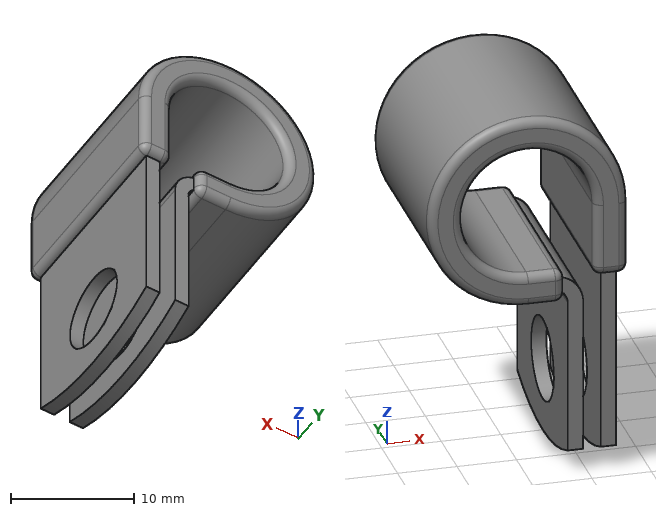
import cadquery as cq
import math

overall_height = 32.1
cushion_width = 17.45
loop_diameter = 16.72
cushion_thickness = 2.82
cushion_rounding = 0.77
straight_side_length = 6.35
bottom_side_length = 3.05

strap_width = 15.98
strap_thickness = 1.28
bend_inner_radius = 1.2
bent_leg_x = 4.17
tip_arc_height = 1.73
hole_diameter = 7.12
hole_above_tip = 6.4

loop_radius = loop_diameter / 2
bore_radius = loop_radius - cushion_thickness
middle_radius = loop_radius - cushion_thickness / 2
tip_z = loop_radius - overall_height
tip_corner_z = tip_z + tip_arc_height


def arc_middle(radius):
    """Middle of the 270 degree loop, from +X over the top to -Z."""
    return (-radius * math.sqrt(0.5), radius * math.sqrt(0.5))


def extrude_centered(profile, width):
    return profile.extrude(width / 2, both=True)


def make_cushion():
    profile = (
        cq.Workplane("XZ")
        .moveTo(loop_radius, -straight_side_length)
        .lineTo(loop_radius, 0)
        .threePointArc(arc_middle(loop_radius), (0, -loop_radius))
        .lineTo(bottom_side_length, -loop_radius)
        .lineTo(bottom_side_length, -bore_radius)
        .lineTo(0, -bore_radius)
        .threePointArc(arc_middle(bore_radius), (bore_radius, 0))
        .lineTo(bore_radius, -straight_side_length)
        .close()
    )
    body = extrude_centered(profile, cushion_width)
    side_edges = body.faces("<Y or >Y").edges()
    margin = cushion_rounding / 2
    straight_end = cq.selectors.BoxSelector(
        (bore_radius - margin, -cushion_width, -straight_side_length - margin),
        (loop_radius + margin, cushion_width, -straight_side_length + margin),
    )
    bottom_end = cq.selectors.BoxSelector(
        (bottom_side_length - margin, -cushion_width, -loop_radius - margin),
        (bottom_side_length + margin, cushion_width, -bore_radius + margin),
    )
    end_edges = body.edges(straight_end).add(body.edges(bottom_end))
    return side_edges.add(end_edges).fillet(cushion_rounding)


def make_straight_leg():
    leg = cq.Workplane("XY").box(strap_thickness, strap_width, -tip_z, centered=(True, True, False))
    return leg.translate((middle_radius, 0, tip_z))


def make_bent_leg():
    bend_radius = bend_inner_radius + strap_thickness / 2
    bend_x = bent_leg_x - bend_radius
    bend_z = -middle_radius - bend_radius
    bend_outer_radius = bend_inner_radius + strap_thickness

    def bend_point(radius):
        return (bend_x + radius * math.sqrt(0.5), bend_z + radius * math.sqrt(0.5))

    profile = (
        cq.Workplane("XZ")
        .moveTo(0, bend_z + bend_outer_radius)
        .lineTo(bend_x, bend_z + bend_outer_radius)
        .threePointArc(bend_point(bend_outer_radius), (bend_x + bend_outer_radius, bend_z))
        .lineTo(bend_x + bend_outer_radius, tip_z)
        .lineTo(bend_x + bend_inner_radius, tip_z)
        .lineTo(bend_x + bend_inner_radius, bend_z)
        .threePointArc(bend_point(bend_inner_radius), (bend_x, bend_z + bend_inner_radius))
        .lineTo(0, bend_z + bend_inner_radius)
        .close()
    )
    return extrude_centered(profile, strap_width)


def make_leg_outline():
    """Tab outline seen along X, with a rounded tip and the bolt hole."""
    half_width = strap_width / 2
    outline = (
        cq.Workplane("YZ")
        .moveTo(-half_width, 0)
        .lineTo(-half_width, tip_corner_z)
        .threePointArc((0, tip_z), (half_width, tip_corner_z))
        .lineTo(half_width, 0)
        .close()
        .extrude(loop_radius)
    )
    hole = (
        cq.Workplane("YZ")
        .center(0, tip_z + hole_above_tip)
        .circle(hole_diameter / 2)
        .extrude(loop_radius)
    )
    return outline.cut(hole)


legs = make_straight_leg().union(make_bent_leg()).intersect(make_leg_outline())
result = make_cushion().union(legs)